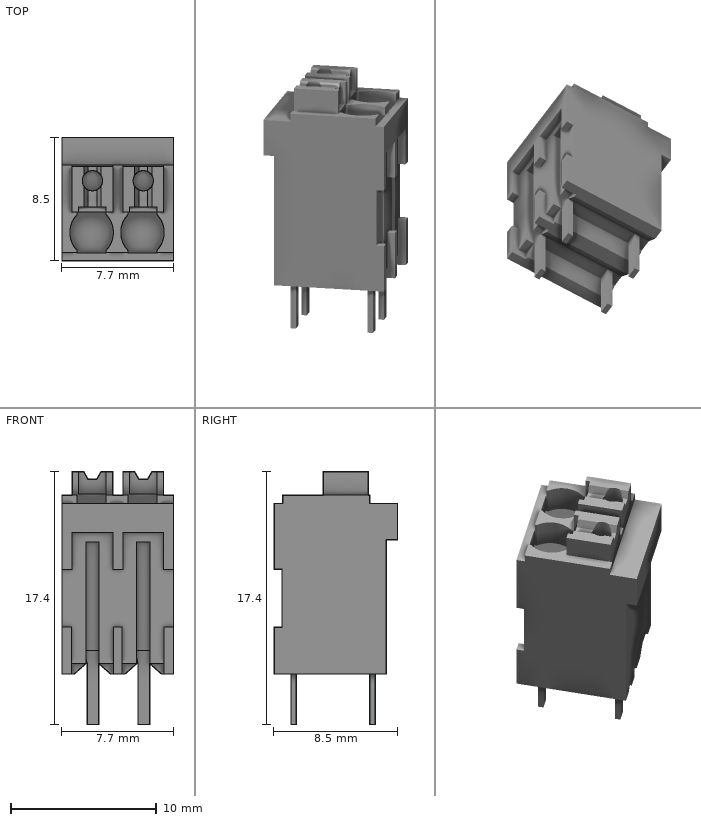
import cadquery as cq

TOTAL_HEIGHT = 17.42
HOUSING_WIDTH = 7.7
HOUSING_DEPTH = 8.5
POLE_PITCH = 3.5
POLE_CENTRES = (-POLE_PITCH / 2, POLE_PITCH / 2)

FRONT_Y = -HOUSING_DEPTH / 2
REAR_Y = HOUSING_DEPTH / 2

HOUSING_BOTTOM_Z = 3.48
HOUSING_TOP_Z = 15.8
SHELF_DROP = 0.55
SHELF_Z = HOUSING_TOP_Z - SHELF_DROP
FRONT_SHELF_DEPTH = 0.6
REAR_SHELF_DEPTH = 1.9
OVERHANG_DEPTH = 0.77
OVERHANG_BOTTOM_Z = 12.72
TOP_FRONT_Y = FRONT_Y + FRONT_SHELF_DEPTH
TOP_REAR_Y = REAR_Y - REAR_SHELF_DEPTH
BODY_REAR_Y = REAR_Y - OVERHANG_DEPTH

PANEL_RECESS_DEPTH = 0.54
PANEL_Y = FRONT_Y + PANEL_RECESS_DEPTH
UPPER_OPENING_WIDTH = 2.8
UPPER_OPENING_TOP_Z = 13.22
UPPER_RIB_BOTTOM_Z = 10.7
LOWER_OPENING_WIDTH = 2.9
LOWER_RIB_TOP_Z = 6.72

SLOT_WIDTH = 0.9
SLOT_TOP_Z = 12.6
NOTCH_CEILING_Z = 4.2
NOTCH_MOUTH_WIDTH = 2.49

PIN_THICKNESS = 0.38
PIN_HEAD_WIDTH = SLOT_WIDTH
PIN_HEAD_TOP_Z = 5.1
PIN_LEG_WIDTH = 0.82
PIN_TAPER_HEIGHT = 0.42
PIN_TAPER_TOP_Z = NOTCH_CEILING_Z + PIN_TAPER_HEIGHT
FRONT_PIN_Y = -2.91
PIN_ROW_SPACING = 5.44
PIN_ROWS = (FRONT_PIN_Y, FRONT_PIN_Y + PIN_ROW_SPACING)
SLOT_FLOOR_Y = FRONT_PIN_Y - PIN_THICKNESS / 2

WIRE_HOLE_WIDTH = 3.0
WIRE_HOLE_OFFSET_X = -0.05
WIRE_HOLE_DEPTH = 1.97
WIRE_HOLE_FLOOR_Z = HOUSING_TOP_Z - WIRE_HOLE_DEPTH
WIRE_HOLE_END_WIDTH = 2.0
WIRE_HOLE_END_LENGTH = 0.2
WIRE_HOLE_FRONT_Y = -3.71

BUTTON_WIDTH = UPPER_OPENING_WIDTH
BUTTON_REAR_GAP = 0.1
BUTTON_REAR_Y = TOP_REAR_Y - BUTTON_REAR_GAP
BUTTON_FRONT_Y = -0.87
BUTTON_BOTTOM_Z = WIRE_HOLE_FLOOR_Z
BUTTON_RECESS_WIDTH = 1.9
BUTTON_RECESS_DEPTH = 0.33
BUTTON_LEDGE_HEIGHT = 0.09
BUTTON_LEDGE_Z = HOUSING_TOP_Z + BUTTON_LEDGE_HEIGHT
CHANNEL_TOP_WIDTH = 1.18
CHANNEL_FLOOR_WIDTH = 0.61
CHANNEL_DEPTH = 0.5
TOOL_HOLE_RADIUS = 0.7
TOOL_HOLE_Y = 1.27


def block(x_range, y_range, z_range):
    """Box spanning the given (low, high) range on each axis."""
    (x0, x1), (y0, y1), (z0, z1) = x_range, y_range, z_range
    return cq.Workplane("XY").box(x1 - x0, y1 - y0, z1 - z0, centered=False).translate((x0, y0, z0))


def centred_range(centre, width):
    """(low, high) range of the given width about a centre."""
    return (centre - width / 2, centre + width / 2)


def extrude_along_y(outline, y_range):
    """Extrude a closed XZ outline between two Y positions."""
    y0, y1 = y_range
    return cq.Workplane("XZ", origin=(0, y1, 0)).polyline(outline).close().extrude(y1 - y0)


def housing_blank():
    """Side profile with the top shelves and the rear overhang, before any cuts."""
    profile = [
        (FRONT_Y, HOUSING_BOTTOM_Z),
        (FRONT_Y, SHELF_Z),
        (TOP_FRONT_Y, SHELF_Z),
        (TOP_FRONT_Y, HOUSING_TOP_Z),
        (TOP_REAR_Y, HOUSING_TOP_Z),
        (TOP_REAR_Y, SHELF_Z),
        (REAR_Y, SHELF_Z),
        (REAR_Y, OVERHANG_BOTTOM_Z),
        (BODY_REAR_Y, OVERHANG_BOTTOM_Z),
        (BODY_REAR_Y, HOUSING_BOTTOM_Z),
    ]
    return cq.Workplane("YZ").polyline(profile).close().extrude(HOUSING_WIDTH / 2, both=True)


def front_band_cut():
    """Full-width gap between the upper and lower ribs."""
    return block(
        centred_range(0, HOUSING_WIDTH), (FRONT_Y, PANEL_Y), (LOWER_RIB_TOP_Z, UPPER_RIB_BOTTOM_Z)
    )


def front_opening_cuts(pole_x):
    """Openings between the ribs, the contact slot and the clearance under the panel."""
    upper = block(
        centred_range(pole_x, UPPER_OPENING_WIDTH),
        (FRONT_Y, PANEL_Y),
        (UPPER_RIB_BOTTOM_Z, UPPER_OPENING_TOP_Z),
    )
    lower_x = centred_range(pole_x, LOWER_OPENING_WIDTH)
    lower = block(lower_x, (FRONT_Y, PANEL_Y), (HOUSING_BOTTOM_Z, LOWER_RIB_TOP_Z))
    clearance = block(lower_x, (FRONT_Y, SLOT_FLOOR_Y), (HOUSING_BOTTOM_Z, NOTCH_CEILING_Z))
    slot = block(
        centred_range(pole_x, SLOT_WIDTH), (FRONT_Y, SLOT_FLOOR_Y), (HOUSING_BOTTOM_Z, SLOT_TOP_Z)
    )
    return [upper, lower, clearance, slot]


def bottom_notch_cut(pole_x):
    """Flared notch running through the underside from front to rear."""
    mouth_left, mouth_right = centred_range(pole_x, NOTCH_MOUTH_WIDTH)
    ceiling_left, ceiling_right = centred_range(pole_x, SLOT_WIDTH)
    outline = [
        (mouth_left, HOUSING_BOTTOM_Z),
        (ceiling_left, NOTCH_CEILING_Z),
        (ceiling_right, NOTCH_CEILING_Z),
        (mouth_right, HOUSING_BOTTOM_Z),
    ]
    return extrude_along_y(outline, (FRONT_Y, BODY_REAR_Y))


def pin_socket_cut(pole_x, row_y):
    """Blind socket above the notch that holds a pin head."""
    return block(
        centred_range(pole_x, PIN_HEAD_WIDTH),
        centred_range(row_y, PIN_THICKNESS),
        (NOTCH_CEILING_Z, PIN_HEAD_TOP_Z),
    )


def wire_entry_cut(pole_x):
    """Wire hole with bowed sides and short straight ends; its rear end meets the button."""
    hole_x = pole_x + WIRE_HOLE_OFFSET_X
    left, right = centred_range(hole_x, WIRE_HOLE_END_WIDTH)
    bow_left, bow_right = centred_range(hole_x, WIRE_HOLE_WIDTH)
    front, rear = WIRE_HOLE_FRONT_Y, BUTTON_FRONT_Y
    middle = (front + rear) / 2
    arc_front = front + WIRE_HOLE_END_LENGTH
    arc_rear = rear - WIRE_HOLE_END_LENGTH
    return (
        cq.Workplane("XY", origin=(0, 0, WIRE_HOLE_FLOOR_Z))
        .moveTo(left, front)
        .lineTo(right, front)
        .lineTo(right, arc_front)
        .threePointArc((bow_right, middle), (right, arc_rear))
        .lineTo(right, rear)
        .lineTo(left, rear)
        .lineTo(left, arc_rear)
        .threePointArc((bow_left, middle), (left, arc_front))
        .close()
        .extrude(WIRE_HOLE_DEPTH)
    )


def button_pocket_cut(pole_x):
    """Pocket for a button, with a narrow gap behind it that opens at the rear shelf."""
    return block(
        centred_range(pole_x, BUTTON_WIDTH),
        (BUTTON_FRONT_Y, TOP_REAR_Y),
        (BUTTON_BOTTOM_Z, HOUSING_TOP_Z),
    )


def make_housing():
    housing = housing_blank().cut(front_band_cut())
    for pole_x in POLE_CENTRES:
        cuts = front_opening_cuts(pole_x)
        cuts += [pin_socket_cut(pole_x, row_y) for row_y in PIN_ROWS]
        cuts += [bottom_notch_cut(pole_x), wire_entry_cut(pole_x), button_pocket_cut(pole_x)]
        for cut in cuts:
            housing = housing.cut(cut)
    return housing


def make_button(pole_x):
    """Push button with a front recess, a flared top channel and a round tool hole."""
    y_range = (BUTTON_FRONT_Y, BUTTON_REAR_Y)
    body = block(centred_range(pole_x, BUTTON_WIDTH), y_range, (BUTTON_BOTTOM_Z, TOTAL_HEIGHT))
    recess = block(
        centred_range(pole_x, BUTTON_RECESS_WIDTH),
        (BUTTON_FRONT_Y, BUTTON_FRONT_Y + BUTTON_RECESS_DEPTH),
        (BUTTON_LEDGE_Z, TOTAL_HEIGHT),
    )
    top_left, top_right = centred_range(pole_x, CHANNEL_TOP_WIDTH)
    floor_left, floor_right = centred_range(pole_x, CHANNEL_FLOOR_WIDTH)
    channel_floor_z = TOTAL_HEIGHT - CHANNEL_DEPTH
    channel_outline = [
        (top_left, TOTAL_HEIGHT),
        (floor_left, channel_floor_z),
        (floor_right, channel_floor_z),
        (top_right, TOTAL_HEIGHT),
    ]
    channel = extrude_along_y(channel_outline, y_range)
    tool_hole = (
        cq.Workplane("XY", origin=(pole_x, TOOL_HOLE_Y, BUTTON_LEDGE_Z))
        .circle(TOOL_HOLE_RADIUS)
        .extrude(TOTAL_HEIGHT - BUTTON_LEDGE_Z)
    )
    return body.cut(recess).cut(channel).cut(tool_hole)


def make_pin(pole_x, row_y):
    """Flat pin: a wide head in the housing that tapers on its left edge to the leg."""
    head_left, right = centred_range(pole_x, PIN_HEAD_WIDTH)
    leg_left = right - PIN_LEG_WIDTH
    outline = [
        (leg_left, 0),
        (right, 0),
        (right, PIN_HEAD_TOP_Z),
        (head_left, PIN_HEAD_TOP_Z),
        (head_left, PIN_TAPER_TOP_Z),
        (leg_left, NOTCH_CEILING_Z),
    ]
    return extrude_along_y(outline, centred_range(row_y, PIN_THICKNESS))


housing = make_housing()
buttons = [make_button(pole_x) for pole_x in POLE_CENTRES]
pins = [make_pin(pole_x, row_y) for pole_x in POLE_CENTRES for row_y in PIN_ROWS]

result = cq.Compound.makeCompound(
    [
        housing.val(),
        *[button.val() for button in buttons],
        *[pin.val() for pin in pins],
    ]
)